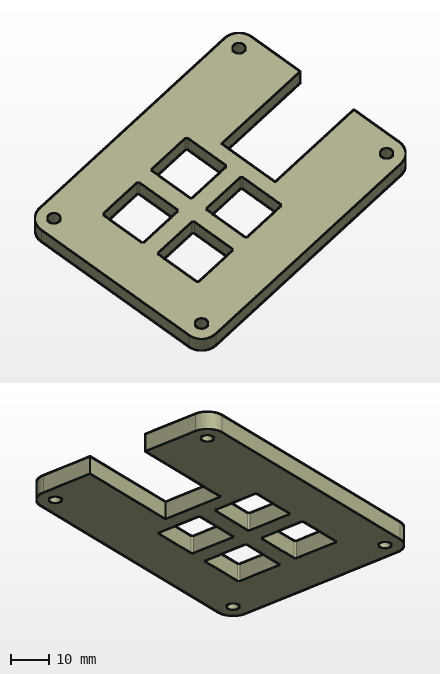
import cadquery as cq

plate_width = 61.0
plate_length = 82.7
plate_thickness = 5.2
plate_corner_radius = 5.0

mount_hole_diameter = 3.4
mount_hole_inset = plate_corner_radius

slot_width = 18.5
slot_depth = 30.9
slot_center_x = 0.6

window_size = 14.0
window_pitch = 19.0
window_corner_radius = 0.5
windows_per_side = 2
grid_center_x = -0.4
grid_center_y = -10.6


def make_plate():
    """Flat plate with rounded vertical corners, resting on Z = 0."""
    return (
        cq.Workplane("XY")
        .rect(plate_width, plate_length)
        .extrude(plate_thickness)
        .edges("|Z")
        .fillet(plate_corner_radius)
    )


def make_mount_holes():
    """One through hole at each plate corner."""
    return (
        cq.Workplane("XY")
        .rect(
            plate_width - 2 * mount_hole_inset,
            plate_length - 2 * mount_hole_inset,
            forConstruction=True,
        )
        .vertices()
        .circle(mount_hole_diameter / 2)
        .extrude(plate_thickness)
    )


def make_slot():
    """Rectangular cut running inwards from the +Y edge."""
    slot_center_y = plate_length / 2 - slot_depth / 2
    return (
        cq.Workplane("XY")
        .center(slot_center_x, slot_center_y)
        .rect(slot_width, slot_depth)
        .extrude(plate_thickness)
    )


def make_windows():
    """Square through windows with slightly rounded corners."""
    return (
        cq.Workplane("XY")
        .center(grid_center_x, grid_center_y)
        .rarray(window_pitch, window_pitch, windows_per_side, windows_per_side)
        .rect(window_size, window_size)
        .extrude(plate_thickness)
        .edges("|Z")
        .fillet(window_corner_radius)
    )


result = make_plate().cut(make_mount_holes()).cut(make_slot()).cut(make_windows())